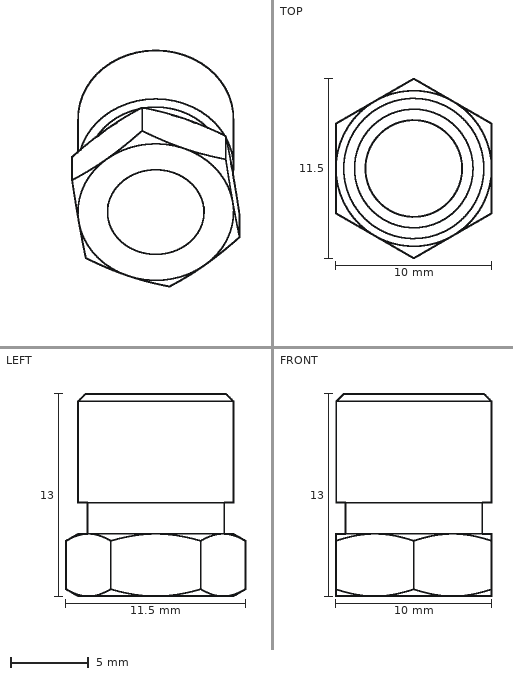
import cadquery as cq
import math

total_height = 13.0
hex_height = 4.0
hex_across_flats = 10.0
hex_chamfer_angle = 30.0
neck_height = 2.0
neck_diameter = 8.8
body_diameter = 10.0
body_chamfer = 0.5
bore_diameter = 6.2
mouth_diameter = 7.62

flat_radius = hex_across_flats / 2
hex_corner_radius = flat_radius / math.cos(math.radians(30))
hex_chamfer_drop = (hex_corner_radius - flat_radius) * math.tan(math.radians(hex_chamfer_angle))
neck_top = hex_height + neck_height
body_radius = body_diameter / 2
bore_radius = bore_diameter / 2
mouth_radius = mouth_diameter / 2
mouth_depth = mouth_radius - bore_radius


def revolve_profile(points):
    """Revolve a closed (radius, height) outline around the Z axis."""
    return cq.Workplane("XZ").polyline(points).close().revolve(360, (0, 0), (0, 1))


def make_hexagon():
    """Hexagon with corners on Y and conical chamfers at both ends."""
    prism = (
        cq.Workplane("XY")
        .transformed(rotate=(0, 0, 90))
        .polygon(6, 2 * hex_corner_radius)
        .extrude(hex_height)
    )
    chamfer_envelope = revolve_profile([
        (0, 0),
        (flat_radius, 0),
        (hex_corner_radius, hex_chamfer_drop),
        (hex_corner_radius, hex_height - hex_chamfer_drop),
        (flat_radius, hex_height),
        (0, hex_height),
    ])
    return prism.intersect(chamfer_envelope)


def make_shank():
    """Narrow neck and wider body with a chamfered top rim."""
    return revolve_profile([
        (0, hex_height),
        (neck_diameter / 2, hex_height),
        (neck_diameter / 2, neck_top),
        (body_radius, neck_top),
        (body_radius, total_height - body_chamfer),
        (body_radius - body_chamfer, total_height),
        (0, total_height),
    ])


def make_bore():
    """Through bore that opens into a countersunk mouth at the top."""
    return revolve_profile([
        (0, 0),
        (bore_radius, 0),
        (bore_radius, total_height - mouth_depth),
        (mouth_radius, total_height),
        (0, total_height),
    ])


result = make_hexagon().union(make_shank()).cut(make_bore())